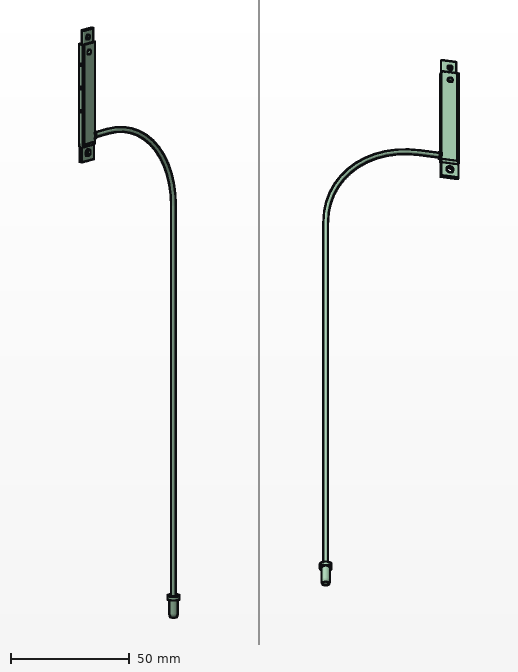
import cadquery as cq

total_height = 266.5
total_depth = 60.0

plug_diameter = 3.7
plug_tip_diameter = 3.0
plug_tip_height = 1.3
flange_diameter = 5.0
flange_bottom = 7.7
flange_top = 9.3

cable_diameter = 2.1
bend_radius = 40.5
cable_exit_z = 219.6
bend_start_z = cable_exit_z - bend_radius

housing_depth = 7.5
housing_front_y = flange_diameter / 2 - total_depth
housing_back_y = housing_front_y + housing_depth
housing_mid_y = housing_back_y - housing_depth / 2
housing_thickness = 2.7
housing_top = 260.7
taper_top = 217.2
taper_bottom = 216.0
housing_bottom = 209.5
front_bevel_width = 0.3
front_bevel_depth = 0.8

tab_thickness = 1.5
top_tab_depth = 6.7

collar_diameter = 3.0
collar_length = 0.8

top_hole_diameter = 2.1
top_hole_heights = (263.4, 257.0)
bottom_hole_diameter = 3.0
bottom_hole_z = 213.0
front_hole_diameter = 1.2
front_hole_depth = 1.3
front_hole_top_z = 252.0
front_hole_pitch = 10.0
front_hole_count = 3


def make_plug():
    """Turned plug with a tapered tip and a flange on which the cable ends."""
    return (
        cq.Workplane("XZ")
        .moveTo(0, 0)
        .lineTo(plug_tip_diameter / 2, 0)
        .lineTo(plug_diameter / 2, plug_tip_height)
        .lineTo(plug_diameter / 2, flange_bottom)
        .lineTo(flange_diameter / 2, flange_bottom)
        .lineTo(flange_diameter / 2, flange_top)
        .lineTo(0, flange_top)
        .close()
        .revolve(360, (0, 0), (0, 1))
    )


def make_cable():
    """Round cable from the plug flange, around the bend, to the housing collar."""
    path = (
        cq.Workplane("YZ")
        .moveTo(0, flange_top)
        .lineTo(0, bend_start_z)
        .radiusArc((-bend_radius, cable_exit_z), -bend_radius)
        .lineTo(housing_back_y + collar_length, cable_exit_z)
    )
    return cq.Workplane("XY", origin=(0, 0, flange_top)).circle(cable_diameter / 2).sweep(path)


def cross_hole(diameter, z):
    """Cutter for a hole along X through the middle of the housing depth."""
    return (
        cq.Workplane("YZ")
        .center(housing_mid_y, z)
        .circle(diameter / 2)
        .extrude(housing_thickness, both=True)
    )


def housing_plate():
    """Plate that tapers on both sides to a thin bottom tab, with bevelled front edges."""
    half = housing_thickness / 2
    half_tab = tab_thickness / 2
    plate = (
        cq.Workplane("XZ", origin=(0, housing_back_y, 0))
        .polyline([
            (-half, housing_top),
            (half, housing_top),
            (half, taper_top),
            (half_tab, taper_bottom),
            (half_tab, housing_bottom),
            (-half_tab, housing_bottom),
            (-half_tab, taper_bottom),
            (-half, taper_top),
        ])
        .close()
        .extrude(housing_depth)
    )
    for side in (-1, 1):
        bevel = (
            cq.Workplane("XY", origin=(0, 0, taper_bottom))
            .polyline([
                (side * half, housing_front_y),
                (side * half, housing_front_y + front_bevel_depth),
                (side * (half - front_bevel_width), housing_front_y),
            ])
            .close()
            .extrude(housing_top - taper_bottom)
        )
        plate = plate.cut(bevel)
    return plate


def top_tab():
    """Thin tab with fully rounded front and back edges."""
    return (
        cq.Workplane("XY", origin=(0, housing_back_y - top_tab_depth / 2, housing_top))
        .slot2D(top_tab_depth, tab_thickness, 90)
        .extrude(total_height - housing_top)
    )


def cable_collar():
    """Short round boss on the back of the housing, where the cable ends."""
    return (
        cq.Workplane("XZ", origin=(0, housing_back_y, cable_exit_z))
        .circle(collar_diameter / 2)
        .extrude(-collar_length)
    )


def make_housing():
    housing = housing_plate().union(top_tab()).union(cable_collar())
    for z in top_hole_heights:
        housing = housing.cut(cross_hole(top_hole_diameter, z))
    housing = housing.cut(cross_hole(bottom_hole_diameter, bottom_hole_z))
    for index in range(front_hole_count):
        z = front_hole_top_z - index * front_hole_pitch
        front_hole = (
            cq.Workplane("XZ", origin=(0, housing_front_y, z))
            .circle(front_hole_diameter / 2)
            .extrude(-front_hole_depth)
        )
        housing = housing.cut(front_hole)
    return housing


plug = make_plug()
cable = make_cable()
housing = make_housing()

result = cq.Compound.makeCompound([plug.val(), cable.val(), housing.val()])